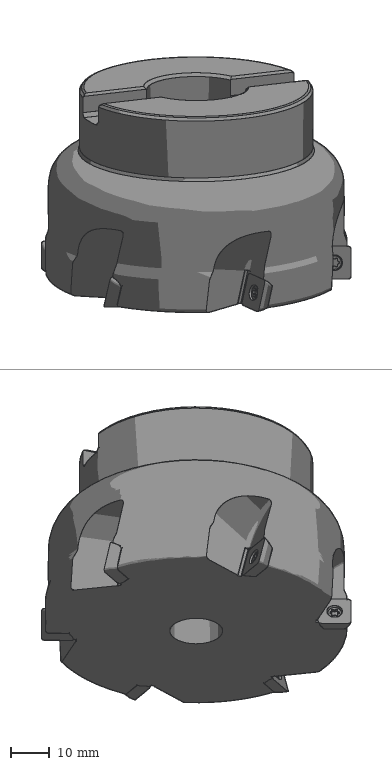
import cadquery as cq
import math


pick_margin = 0.1

body_bottom = 0.25
body_top = 50.0
rim_radius = 77.5 / 2
rim_top = 9.3
waist_radius = 38.0
waist_bottom = 11.4
rim_blend = 2.0
bottom_fillet = 1.0
shoulder_bottom = 23.85
shoulder_arc = 9.4
neck_radius = 30.0
neck_bottom = 33.05
neck_foot_height = 0.9
neck_lip = [(0, 1.0), (0.6, 0.25), (1.1, 0)]

bore_diameter = 25.45
bore_depth = 18.25
bore_chamfer = 0.8
bore_floor_fillet = 0.6
screw_hole_diameter = 13.5
slot_width = 10.0
slot_depth = 6.0
slot_top_chamfer = 0.65
slot_floor_chamfer = 1.05

axial_rake = 14.0
radial_rake = 7.0

floor_angle = 18.0
gullet_root = 30.9
gullet_straight = 8.8
gullet_arc = 14.4
gullet_fillet = 1.0
gullet_reach = 40.0
gullet_drop = 6.4
seat_clearance = 0.6
seat_depth = 1.0

insert_count = 6
tip_reach = 40.0
insert_side = 8.5
insert_corner = 0.8
primary_thickness = 1.45
primary_relief = 10.0
end_relief = 17.0
secondary_thickness = 1.8
secondary_relief = 24.0
mouth_diameter = 4.0
screw_head_diameter = 3.45
screw_head_depth = 0.5
socket_diameter = 2.5
socket_depth = 1.2
socket_lobes = 6
lobe_radius = 0.3

tip_setback = insert_corner * math.sin(math.radians(axial_rake)) * math.sin(math.radians(radial_rake))
insert_outer = tip_reach + tip_setback
insert_inner = insert_outer - insert_side
insert_centre = (insert_outer - insert_side / 2, insert_side / 2)


def place(shape, index):
    """Set a shape to its axial and radial rake and turn it to its position round the cutter."""
    tilted = shape.rotate((0, 0, 0), (1, 0, 0), -axial_rake)
    raked = tilted.rotate((insert_outer, 0, 0), (insert_outer, 0, 1), radial_rake)
    return raked.rotate((0, 0, 0), (0, 0, 1), index * 360.0 / insert_count)


def make_blank():
    """Outside shape of the cutter body, turned about Z."""
    shoulder_centre = waist_radius - shoulder_arc
    arc_rise = neck_bottom - shoulder_bottom
    shoulder_end = shoulder_centre + math.sqrt(shoulder_arc**2 - arc_rise**2)
    arc_middle = math.atan2(arc_rise, shoulder_end - shoulder_centre) / 2
    middle_point = (
        shoulder_centre + shoulder_arc * math.cos(arc_middle),
        shoulder_bottom + shoulder_arc * math.sin(arc_middle),
    )
    neck_foot_end = (neck_radius, neck_bottom + neck_foot_height)
    lip = [(neck_radius - inset, body_top - drop) for inset, drop in neck_lip]
    blank = (
        cq.Workplane("XZ")
        .moveTo(0, body_bottom)
        .lineTo(rim_radius, body_bottom)
        .lineTo(rim_radius, rim_top)
        .lineTo(waist_radius, waist_bottom)
        .lineTo(waist_radius, shoulder_bottom)
        .threePointArc(middle_point, (shoulder_end, neck_bottom))
        .lineTo(*neck_foot_end)
        .polyline(lip, includeCurrent=True)
        .lineTo(0, body_top)
        .close()
        .revolve(360, (0, 0, 0), (0, 1, 0))
    )
    step_edges = cq.selectors.BoxSelector(
        (-rim_radius, -rim_radius, rim_top - pick_margin),
        (rim_radius, rim_radius, waist_bottom + pick_margin),
    )
    blank = blank.edges("%CIRCLE").edges(step_edges).fillet(rim_blend)
    blank = blank.faces("<Z").edges().fillet(bottom_fillet)
    return blank


def make_bore():
    """Stepped central bore with a chamfered mouth and a rounded floor corner."""
    bore = (
        cq.Workplane("XY", origin=(0, 0, body_top - bore_depth))
        .circle(bore_diameter / 2)
        .extrude(bore_depth)
        .faces("<Z").edges().fillet(bore_floor_fillet)
    )
    mouth_radius = bore_diameter / 2 + bore_chamfer
    mouth = cq.Workplane(
        cq.Solid.makeCone(
            bore_diameter / 2, mouth_radius, bore_chamfer, cq.Vector(0, 0, body_top - bore_chamfer)
        )
    )
    through = cq.Workplane("XY").circle(screw_hole_diameter / 2).extrude(body_top)
    return bore.union(mouth).union(through)


def make_slot():
    """Drive slot across the neck, with chamfered mouth edges and floor corners."""
    half = slot_width / 2
    floor = body_top - slot_depth
    right_side = [
        (half - slot_floor_chamfer, floor),
        (half, floor + slot_floor_chamfer),
        (half, body_top - slot_top_chamfer),
        (half + slot_top_chamfer, body_top),
    ]
    left_side = [(-x, z) for x, z in reversed(right_side)]
    return cq.Workplane("XZ").polyline(right_side + left_side).close().extrude(rim_radius, both=True)


def make_gullet():
    """Chip gullet in front of the insert face plane (y = 0), before it is set to the rake."""
    root = gullet_root * math.cos(math.radians(floor_angle))
    arc_end = root + gullet_arc
    top = gullet_straight + gullet_arc
    arc_middle = (
        arc_end - gullet_arc * math.sqrt(0.5),
        gullet_straight + gullet_arc * math.sqrt(0.5),
    )
    channel = (
        cq.Workplane("XZ")
        .moveTo(root, -gullet_drop)
        .lineTo(root, gullet_straight)
        .threePointArc(arc_middle, (arc_end, top))
        .lineTo(root + gullet_reach, top)
        .lineTo(root + gullet_reach, -gullet_drop)
        .close()
        .extrude(gullet_reach, both=True)
        .rotate((0, 0, 0), (0, 0, 1), floor_angle)
    )
    space_size = 4 * gullet_reach
    front_space = cq.Workplane("XY").box(space_size, space_size, space_size)
    front_space = front_space.translate((0, -space_size / 2, 0))
    gullet = channel.intersect(front_space)
    root_edges = cq.selectors.BoxSelector(
        (gullet_root - pick_margin, -pick_margin, pick_margin - gullet_drop),
        (gullet_root + gullet_arc, pick_margin, top - pick_margin),
    )
    return gullet.faces(">Y").edges(root_edges).fillet(gullet_fillet)


def make_seat():
    """Flat-sided clearance in front of the insert face, cut into the gullet root fillet."""
    length = insert_side + 2 * seat_clearance
    height = insert_side + seat_clearance + gullet_drop
    seat = cq.Workplane("XY").box(length, seat_depth, height, centered=False)
    return seat.translate((insert_inner - seat_clearance, -seat_depth, -gullet_drop))


def insert_outline(side_inset, end_inset, depth):
    """Rounded outline of the insert, shrunk by an inset on each side and end, at a depth behind its face."""
    width = insert_side - 2 * side_inset
    height = insert_side - 2 * end_inset
    plane = cq.Plane(origin=(insert_centre[0], depth, insert_centre[1]), xDir=(1, 0, 0), normal=(0, 1, 0))
    return cq.Sketch().rect(width, height).vertices().fillet(insert_corner).moved(cq.Location(plane))


def make_insert_blank():
    """Square insert without its screw recess: two tapering stages behind a flat face."""
    thickness = primary_thickness + secondary_thickness
    end_slope = math.tan(math.radians(end_relief))
    middle_inset = primary_thickness * math.tan(math.radians(primary_relief))
    back_inset = middle_inset + secondary_thickness * math.tan(math.radians(secondary_relief))
    face = insert_outline(0, 0, 0)
    middle = insert_outline(middle_inset, primary_thickness * end_slope, primary_thickness)
    back = insert_outline(back_inset, thickness * end_slope, thickness)
    primary = cq.Workplane().placeSketch(face, middle).loft(ruled=True)
    secondary = cq.Workplane().placeSketch(middle, back).loft(ruled=True)
    return primary.union(secondary)


def make_screw_recess():
    """Conical screw-head rim and a lobed driver socket in the insert face."""
    face_plane = cq.Plane(
        origin=(insert_centre[0], 0, insert_centre[1]), xDir=(1, 0, 0), normal=(0, 1, 0)
    )
    cone = cq.Workplane(
        cq.Solid.makeCone(
            mouth_diameter / 2,
            screw_head_diameter / 2,
            screw_head_depth,
            face_plane.origin,
            face_plane.zDir,
        )
    )
    lobe_circle_radius = socket_diameter / 2 - lobe_radius
    socket = cq.Workplane(face_plane).circle(lobe_circle_radius).extrude(socket_depth)
    lobes = (
        cq.Workplane(face_plane)
        .polarArray(lobe_circle_radius, 0, 360, socket_lobes)
        .circle(lobe_radius)
        .extrude(socket_depth)
    )
    return cone.union(socket).union(lobes)


insert_blank = make_insert_blank()
insert = insert_blank.cut(make_screw_recess())
gullet = make_gullet()
seat = make_seat()

body = make_blank().cut(make_bore()).cut(make_slot())
inserts = []
for index in range(insert_count):
    for cutter in (gullet, seat, insert_blank):
        body = body.cut(place(cutter, index))
    inserts.append(place(insert, index).val())

result = cq.Compound.makeCompound([body.val(), *inserts])